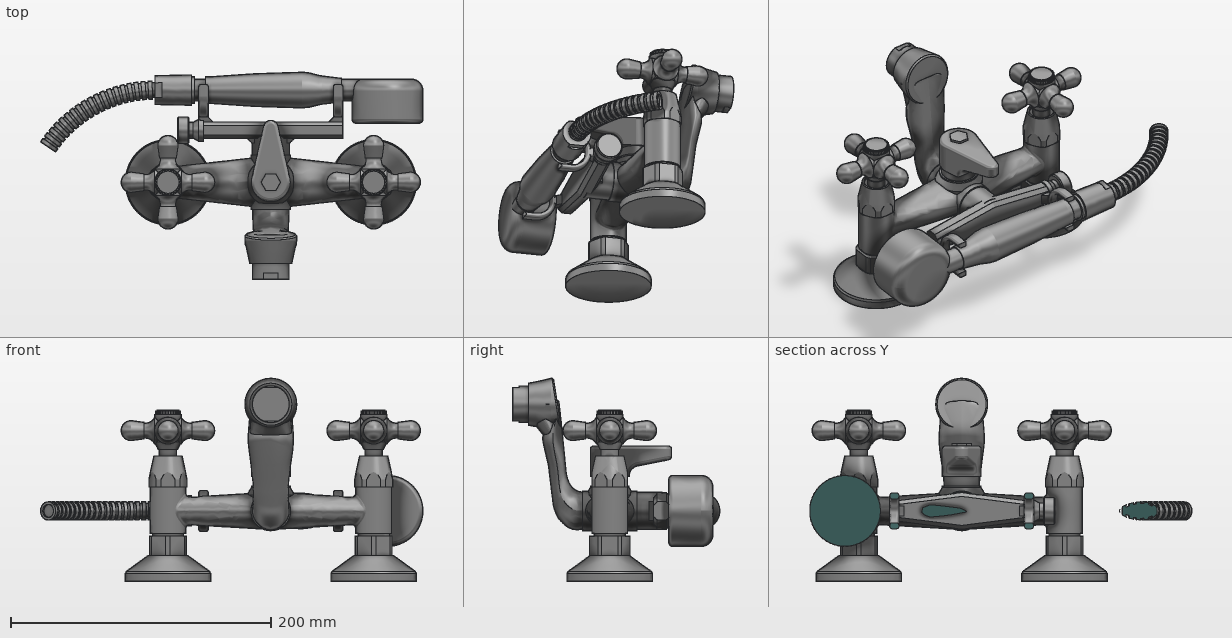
import cadquery as cq
import math

COLUMN_X = 79.0
AXIS_Z = 54.0
SHOWER_Y = 70.8


def turned_z(profile):
    """Solid of revolution about Z from (radius, z) points, closed along the axis."""
    points = [(0, profile[0][1])] + profile + [(0, profile[-1][1])]
    return cq.Workplane("XZ").polyline(points).close().revolve(360, (0, 0, 0), (0, 1, 0))


def turned_x(profile):
    """Solid of revolution about X from (x, radius) points, closed along the axis."""
    points = [(profile[0][0], 0)] + profile + [(profile[-1][0], 0)]
    return cq.Workplane("XY").polyline(points).close().revolve(360, (0, 0, 0), (1, 0, 0))


def turned_y(profile):
    """Solid of revolution about Y from (radius, y) points, closed along the axis."""
    points = [(0, profile[0][1])] + profile + [(0, profile[-1][1])]
    return cq.Workplane("XY").polyline(points).close().revolve(360, (0, 0, 0), (0, 1, 0))


def rod_y(radius, start, end):
    """Round rod parallel to Y through the middle of the mixer at tube height."""
    return turned_y([(radius, start), (radius, end)]).translate((0, 0, AXIS_Z))


FLANGE_R = 33.0
FLANGE_RIM_Z = 6.0
FLANGE_SHOULDER_R = 32.0
FLANGE_SHOULDER_Z = 7.5
FLANGE_TOP_R = 15.0
NUT_R = 15.5
NUT_ACROSS_FLATS = 28.5
NUT_BASE_Z = 20.0
NUT_TOP_Z = 34.7
NECK_R = 12.0
COLUMN_R = 13.8
COLUMN_BASE_Z = 36.7
COLUMN_TOP_Z = 72.2
BONNET_R = 14.7
BONNET_ACROSS_FLATS = 27.3
BONNET_BEND_Z = 78.0
BONNET_WAIST = (13.2, 85.8)
BONNET_TOP_R = 11.0
BONNET_TOP_Z = 96.3
BONNET_RECESS_R = 9.5
BONNET_RECESS_DEPTH = 1.8
STEM_R = 6.8


def hexagon_prism(across_flats, base_z, top_z, turn=0):
    """Hexagonal prism on Z; its corners lie on X when it is not turned."""
    across_corners = across_flats / math.cos(math.pi / 6)
    prism = cq.Workplane("XY").workplane(offset=base_z).polygon(6, across_corners)
    return prism.extrude(top_z - base_z).rotate((0, 0, 0), (0, 0, 1), turn)


def make_flange():
    return turned_z([
        (FLANGE_R, 0),
        (FLANGE_R, FLANGE_RIM_Z),
        (FLANGE_SHOULDER_R, FLANGE_SHOULDER_Z),
        (FLANGE_TOP_R, NUT_BASE_Z),
    ])


def make_union_nut():
    round_blank = turned_z([(NUT_R, NUT_BASE_Z), (NUT_R, NUT_TOP_Z)])
    return round_blank.intersect(hexagon_prism(NUT_ACROSS_FLATS, NUT_BASE_Z, NUT_TOP_Z, 30))


def make_bonnet():
    """Curved bonnet whose lower end carries six flats with arched tops."""
    bonnet = (
        cq.Workplane("XZ")
        .moveTo(0, COLUMN_TOP_Z)
        .lineTo(BONNET_R, COLUMN_TOP_Z)
        .lineTo(BONNET_R, BONNET_BEND_Z)
        .threePointArc(BONNET_WAIST, (BONNET_TOP_R, BONNET_TOP_Z))
        .lineTo(0, BONNET_TOP_Z)
        .close()
        .revolve(360, (0, 0, 0), (0, 1, 0))
    )
    recess_z = BONNET_TOP_Z - BONNET_RECESS_DEPTH
    recess = turned_z([(BONNET_RECESS_R, recess_z), (BONNET_RECESS_R, BONNET_TOP_Z)])
    flats = hexagon_prism(BONNET_ACROSS_FLATS, COLUMN_TOP_Z, BONNET_TOP_Z)
    return bonnet.intersect(flats).cut(recess)


def make_barrel():
    return turned_z([(COLUMN_R, COLUMN_BASE_Z), (COLUMN_R, COLUMN_TOP_Z)])


def make_column():
    neck = turned_z([(NECK_R, NUT_TOP_Z), (NECK_R, COLUMN_BASE_Z)])
    stem = turned_z([(STEM_R, COLUMN_TOP_Z), (STEM_R, HUB_BASE_Z)])
    column = make_flange().union(make_union_nut()).union(neck).union(make_barrel())
    return column.union(make_bonnet()).union(stem)


HANDLE_Z = 115.7
ARM_BALL_R = 7.78
ARM_BALL_OFFSET = 28.2
ARM_GRIP_R = 6.5
ARM_GRIP_OFFSET = 18.5
ARM_NECK_R = 6.0
ARM_FLARE_MID = (12.3, 7.5)
ARM_FLARE_END = 10.3
HUB_BASE_Z = 101.0
HUB_BASE_R = 7.3
HUB_R = 10.3
HUB_CONE_Z = 107.0
CAP_BASE_Z = 128.0
CAP_RIM_Z = 130.7
CAP_R = 9.7
CAP_FACE_R = 8.5
CAP_FACE_Z = 131.5
CAP_TEETH = 24
CAP_GROOVE_R = 0.5


def make_handle_arm():
    """One arm along +X: flared root, tapered grip and a round end."""
    ball_diagonal = ARM_BALL_R * math.sqrt(0.5)
    return (
        cq.Workplane("XY")
        .moveTo(0, 0)
        .lineTo(0, ARM_FLARE_END)
        .lineTo(ARM_FLARE_END, ARM_FLARE_END)
        .threePointArc(ARM_FLARE_MID, (ARM_GRIP_OFFSET, ARM_NECK_R))
        .lineTo(ARM_GRIP_OFFSET, ARM_GRIP_R)
        .lineTo(ARM_BALL_OFFSET, ARM_BALL_R)
        .threePointArc(
            (ARM_BALL_OFFSET + ball_diagonal, ball_diagonal),
            (ARM_BALL_OFFSET + ARM_BALL_R, 0),
        )
        .close()
        .revolve(360, (0, 0, 0), (1, 0, 0))
        .translate((0, 0, HANDLE_Z))
    )


def make_cap():
    """Serrated cap with a slightly raised face."""
    cap = turned_z([
        (CAP_R, CAP_BASE_Z),
        (CAP_R, CAP_RIM_Z),
        (CAP_FACE_R, CAP_RIM_Z),
        (CAP_FACE_R, CAP_FACE_Z),
    ])
    grooves = (
        cq.Workplane("XY")
        .workplane(offset=CAP_BASE_Z)
        .polarArray(CAP_R, 0, 360, CAP_TEETH)
        .circle(CAP_GROOVE_R)
        .extrude(CAP_RIM_Z - CAP_BASE_Z)
    )
    return cap.cut(grooves)


def make_cross_handle():
    hub = turned_z([
        (HUB_BASE_R, HUB_BASE_Z),
        (HUB_R, HUB_CONE_Z),
        (HUB_R, CAP_BASE_Z),
    ])
    envelope = turned_z([
        (HUB_BASE_R, HUB_BASE_Z),
        (ARM_BALL_OFFSET + ARM_BALL_R, HANDLE_Z - ARM_BALL_R),
        (ARM_BALL_OFFSET + ARM_BALL_R, CAP_BASE_Z),
    ])
    arms = make_handle_arm()
    for turn in (90, 180, 270):
        arms = arms.union(make_handle_arm().rotate((0, 0, 0), (0, 0, 1), turn))
    return hub.union(arms.intersect(envelope)).union(make_cap())


TUBE_MID_HALF_Y = 20.3
TUBE_MID_HALF_Z = 14.5
TUBE_END_HALF_Y = 11.5
TUBE_END_HALF_Z = 9.7
TUBE_FILLET_R = 3.0
PORT_R = 15.3
PORT_HALF_LENGTH = 20.9
VALVE_PORT_R = 15.0
VALVE_PORT_TOP_Z = 73.0
VALVE_FLARE_R = 18.2
VALVE_FLARE_Z = 66.5
VALVE_FLARE_TOP_Z = 72.0
VALVE_NECK_R = 13.5


def make_tapered_tube(side):
    """Oval tube from the middle to the column on one side (+1 or -1)."""
    middle = cq.Workplane("YZ").ellipse(TUBE_MID_HALF_Y, TUBE_MID_HALF_Z)
    tube = middle.workplane(offset=side * COLUMN_X).ellipse(TUBE_END_HALF_Y, TUBE_END_HALF_Z)
    return tube.loft(combine=True).translate((0, 0, AXIS_Z))


def make_middle():
    port = rod_y(PORT_R, -PORT_HALF_LENGTH, PORT_HALF_LENGTH)
    valve_port = turned_z([
        (VALVE_FLARE_R, AXIS_Z),
        (VALVE_FLARE_R, VALVE_FLARE_Z),
        (VALVE_PORT_R, VALVE_FLARE_TOP_Z),
        (VALVE_PORT_R, VALVE_PORT_TOP_Z),
        (VALVE_NECK_R, VALVE_PORT_TOP_Z),
        (VALVE_NECK_R, LEVER_BASE_Z),
    ])
    middle = port.union(valve_port)
    for side in (1, -1):
        barrel = make_barrel().translate((side * COLUMN_X, 0, 0))
        middle = middle.union(make_tapered_tube(side)).union(barrel)
    for side in (1, -1):
        joint = cq.selectors.BoxSelector(
            (side * (COLUMN_X - COLUMN_R), -COLUMN_R, AXIS_Z - TUBE_MID_HALF_Z),
            (side * COLUMN_X, COLUMN_R, AXIS_Z + TUBE_MID_HALF_Z),
        )
        middle = middle.edges(joint).fillet(TUBE_FILLET_R)
    return middle


LEVER_R = 15.0
LEVER_TIP_R = 5.5
LEVER_TIP_Y = 42.0
LEVER_BASE_Z = 80.5
LEVER_TOP_Z = 104.0
LEVER_EDGE_R = 2.5
LEVER_ROOT = (20.9, 88.5)
LEVER_ROOT_MID = (16.7, 85.8)
LEVER_TIP_UNDER_Z = 93.7
LEVER_UNDER_EDGE_R = 3.0
SCREW_ACROSS_CORNERS = 15.0
SCREW_HEIGHT = 1.8


def make_lever():
    tip_end = LEVER_TIP_Y + LEVER_TIP_R
    slant_sin = (LEVER_R - LEVER_TIP_R) / LEVER_TIP_Y
    slant_cos = math.sqrt(1 - slant_sin ** 2)
    root = (LEVER_R * slant_cos, LEVER_R * slant_sin)
    tip = (LEVER_TIP_R * slant_cos, LEVER_TIP_Y + LEVER_TIP_R * slant_sin)
    teardrop = (
        cq.Workplane("XY")
        .workplane(offset=LEVER_BASE_Z)
        .moveTo(*root)
        .lineTo(*tip)
        .threePointArc((0, tip_end), (-tip[0], tip[1]))
        .lineTo(-root[0], root[1])
        .threePointArc((0, -LEVER_R), root)
        .close()
        .extrude(LEVER_TOP_Z - LEVER_BASE_Z)
        .faces(">Z")
        .edges()
        .fillet(LEVER_EDGE_R)
    )
    side_outline = (
        cq.Workplane("YZ")
        .moveTo(-LEVER_R, LEVER_BASE_Z)
        .lineTo(LEVER_R, LEVER_BASE_Z)
        .threePointArc(LEVER_ROOT_MID, LEVER_ROOT)
        .lineTo(tip_end, LEVER_TIP_UNDER_Z)
        .lineTo(tip_end, LEVER_TOP_Z)
        .lineTo(-LEVER_R, LEVER_TOP_Z)
        .close()
        .extrude(LEVER_R, both=True)
    )
    screw = cq.Workplane("XY").workplane(offset=LEVER_TOP_Z).polygon(6, SCREW_ACROSS_CORNERS)
    lever = teardrop.intersect(side_outline)
    under_edges = cq.selectors.BoxSelector(
        (-LEVER_R, LEVER_ROOT[0], LEVER_ROOT[1]),
        (LEVER_R, tip_end + LEVER_TIP_R, LEVER_TIP_UNDER_Z + LEVER_UNDER_EDGE_R),
    )
    lever = lever.edges(under_edges).fillet(LEVER_UNDER_EDGE_R)
    return lever.union(screw.extrude(SCREW_HEIGHT))


SPOUT_SECTIONS = [
    ((-20.5, 68.5), (-20.5, 40.2), 14.0),
    ((-26.5, 70.2), (-34.0, 42.5), 13.8),
    ((-30.3, 74.0), (-41.0, 51.0), 13.5),
    ((-33.0, 80.8), (-44.3, 64.5), 13.5),
    ((-34.0, 91.0), (-47.0, 88.0), 15.3),
    ((-36.5, 113.7), (-50.5, 113.7), 17.3),
    ((-41.0, 136.0), (-53.7, 136.0), 19.7),
]
SPOUT_WEB_SECTIONS = [
    ((-36.5, 111.0), (-50.0, 111.0), 16.5),
    ((-41.0, 129.2), (-57.5, 120.5), 15.3),
]
OUTLET_Z = 136.0
OUTLET_BACK_Y = -35.2
OUTLET_BACK_LOW = (-36.0, 110.7)
OUTLET_BACK_HIGH = (-43.5, 157.5)
OUTLET_BACK_EDGE = 1.2
OUTLET_R = 20.0
OUTLET_RIM_Y = -45.0
OUTLET_FRONT_R = 16.2
OUTLET_FRONT_Y = -62.5
NOZZLE_R = 14.0
NOZZLE_END_Y = -74.5
NOZZLE_FLAT_Z = 13.0
NOZZLE_FLAT_LENGTH = 5.0


def spout_section(inner, outer, half_width):
    """Elliptical wire between an inner and an outer point of the bend."""
    step_y = outer[0] - inner[0]
    step_z = outer[1] - inner[1]
    centre = (0, (inner[0] + outer[0]) / 2, (inner[1] + outer[1]) / 2)
    plane = cq.Plane(origin=centre, xDir=(1, 0, 0), normal=(0, step_z, -step_y))
    half_depth = math.hypot(step_y, step_z) / 2
    return cq.Workplane(plane).ellipse(half_width, half_depth).wires().val()


def make_outlet():
    outlet = turned_y([
        (OUTLET_R, OUTLET_BACK_Y),
        (OUTLET_R, OUTLET_RIM_Y),
        (OUTLET_FRONT_R, OUTLET_FRONT_Y),
        (NOZZLE_R, OUTLET_FRONT_Y),
        (NOZZLE_R, NOZZLE_END_Y),
    ])
    flat_depth = NOZZLE_R - NOZZLE_FLAT_Z
    for side in (1, -1):
        flat = cq.Workplane("XY").box(2 * NOZZLE_R, NOZZLE_FLAT_LENGTH, flat_depth)
        flat_y = NOZZLE_END_Y + NOZZLE_FLAT_LENGTH / 2
        outlet = outlet.cut(flat.translate((0, flat_y, side * (NOZZLE_FLAT_Z + flat_depth / 2))))
    back_slice = (
        cq.Workplane("YZ")
        .polyline([OUTLET_BACK_LOW, OUTLET_BACK_HIGH, (0, OUTLET_BACK_HIGH[1]), (0, OUTLET_BACK_LOW[1])])
        .close()
        .extrude(2 * OUTLET_R, both=True)
    )
    outlet = outlet.translate((0, 0, OUTLET_Z)).cut(back_slice)
    return outlet.faces(">Y").edges().chamfer(OUTLET_BACK_EDGE)


def make_spout():
    sections = [spout_section(*section) for section in SPOUT_SECTIONS]
    pipe = cq.Workplane(cq.Solid.makeLoft(sections))
    web = cq.Workplane(cq.Solid.makeLoft([spout_section(*section) for section in SPOUT_WEB_SECTIONS]))
    return pipe.union(make_outlet()).union(web)


CRADLE_PORT_R = 14.5
PORT_GUSSET = 3.5
PORT_GUSSET_HEIGHT = 14.7
BAR_Y = 40.0
BAR_DEPTH = 13.0
BAR_MID_HEIGHT = 28.2
BAR_END_HEIGHT = 14.0
BAR_EDGE = 3.0
FORK_X = 51.7
FORK_WIDTH = 7.3
FORK_OUTER_R = 16.0
FORK_INNER_R = 11.7
FORK_CENTRE_Y = 65.5
FORK_TIP_Y = 75.2
FORK_STEM_HEIGHT = 7.5
FORK_EDGE_R = 1.9
FORK_GUSSET = 3.5
KNOB_R = 10.3
KNOB_OUTER_X = -71.7
KNOB_INNER_X = -62.8
KNOB_EDGE = 1.0
KNOB_NECK_R = 6.2
KNOB_CONE_X = -59.5
KNOB_CONE_R = 8.5


def bar_section(x, height):
    """Bevelled rectangle across the cradle bar."""
    side = cq.Workplane("YZ", origin=(x, BAR_Y, AXIS_Z))
    half_y = BAR_DEPTH / 2
    half_z = height / 2
    quarter = [(half_y, half_z - BAR_EDGE), (half_y - BAR_EDGE, half_z)]
    outline = quarter + [(-y, z) for y, z in reversed(quarter)]
    outline += [(-y, -z) for y, z in outline]
    return side.polyline(outline).close().wires().val()


def make_bar():
    """Bar that tapers in height from the middle to both forks."""
    end_x = FORK_X + FORK_WIDTH / 2
    halves = [
        cq.Workplane(cq.Solid.makeLoft([
            bar_section(0, BAR_MID_HEIGHT),
            bar_section(side * end_x, BAR_END_HEIGHT),
        ], True))
        for side in (1, -1)
    ]
    return halves[0].union(halves[1])


def make_fork(x):
    """U-shaped rest, open to the rear, on a stem from the bar."""
    rest = (
        cq.Workplane("YZ")
        .moveTo(FORK_TIP_Y, FORK_OUTER_R)
        .lineTo(FORK_CENTRE_Y, FORK_OUTER_R)
        .threePointArc((FORK_CENTRE_Y - FORK_OUTER_R, 0), (FORK_CENTRE_Y, -FORK_OUTER_R))
        .lineTo(FORK_TIP_Y, -FORK_OUTER_R)
        .lineTo(FORK_TIP_Y, -FORK_INNER_R)
        .lineTo(FORK_CENTRE_Y, -FORK_INNER_R)
        .threePointArc((FORK_CENTRE_Y - FORK_INNER_R, 0), (FORK_CENTRE_Y, FORK_INNER_R))
        .lineTo(FORK_TIP_Y, FORK_INNER_R)
        .close()
        .extrude(FORK_WIDTH / 2, both=True)
        .faces("<X or >X")
        .edges()
        .fillet(FORK_EDGE_R)
    )
    stem_end = FORK_CENTRE_Y - (FORK_INNER_R + FORK_OUTER_R) / 2
    stem = cq.Workplane("XY").box(FORK_WIDTH, stem_end - BAR_Y, FORK_STEM_HEIGHT)
    stem = stem.edges("|Y").fillet(FORK_EDGE_R).translate((0, (stem_end + BAR_Y) / 2, 0))
    bar_back_y = BAR_Y + BAR_DEPTH / 2
    inward = -math.copysign(1, x)
    gusset = (
        cq.Workplane("XY")
        .polyline([
            (0, bar_back_y - FORK_GUSSET),
            (0, bar_back_y + FORK_GUSSET),
            (inward * FORK_WIDTH / 2, bar_back_y + FORK_GUSSET),
            (inward * (FORK_WIDTH / 2 + FORK_GUSSET), bar_back_y),
            (inward * (FORK_WIDTH / 2 + FORK_GUSSET), bar_back_y - FORK_GUSSET),
        ])
        .close()
        .extrude(FORK_STEM_HEIGHT / 2, both=True)
    )
    return rest.union(stem).union(gusset).translate((x, 0, AXIS_Z))


def make_knob():
    knob = turned_x([
        (KNOB_OUTER_X, KNOB_R - KNOB_EDGE),
        (KNOB_OUTER_X + KNOB_EDGE, KNOB_R),
        (KNOB_INNER_X - KNOB_EDGE, KNOB_R),
        (KNOB_INNER_X, KNOB_R - KNOB_EDGE),
        (KNOB_INNER_X, KNOB_NECK_R),
        (KNOB_CONE_X, KNOB_NECK_R),
        (-FORK_X - FORK_WIDTH / 2, KNOB_CONE_R),
        (-FORK_X, KNOB_CONE_R),
    ])
    return knob.translate((0, BAR_Y, AXIS_Z))


def make_cradle():
    port = rod_y(CRADLE_PORT_R, PORT_HALF_LENGTH, BAR_Y)
    bar_front_y = BAR_Y - BAR_DEPTH / 2
    port_gusset = (
        cq.Workplane("XY", origin=(0, 0, AXIS_Z))
        .polyline([
            (-CRADLE_PORT_R - PORT_GUSSET, BAR_Y),
            (-CRADLE_PORT_R - PORT_GUSSET, bar_front_y),
            (-CRADLE_PORT_R, bar_front_y - PORT_GUSSET),
            (CRADLE_PORT_R, bar_front_y - PORT_GUSSET),
            (CRADLE_PORT_R + PORT_GUSSET, bar_front_y),
            (CRADLE_PORT_R + PORT_GUSSET, BAR_Y),
        ])
        .close()
        .extrude(PORT_GUSSET_HEIGHT / 2, both=True)
    )
    cradle = port.union(port_gusset).union(make_bar()).union(make_knob())
    for x in (-FORK_X, FORK_X):
        cradle = cradle.union(make_fork(x))
    return cradle


HOSE_NUT_START_X = -89.0
HOSE_NUT_END_X = -60.8
HOSE_NUT_START_R = 11.2
HOSE_NUT_END_R = 11.7
HOSE_NUT_FLAT_LENGTH = 5.3
HOSE_NUT_FLAT_Z = 9.7
SHOWER_RING_R = 10.3
SHOWER_RING_END_X = -58.5
SHOWER_NECK_R = 8.5
GRIP_START_X = -50.2
GRIP_COLLAR_X = -46.7
GRIP_START_R = 10.3
GRIP_MAX_X = 24.0
GRIP_MAX_R = 13.8
GRIP_END_X = 39.6
GRIP_END_R = 11.0
GRIP_SWELL_SLOPE = (14, 1)
GRIP_FALL_SLOPE = (7, -1)
ALONG_AXIS = (1, 0)
FERRULE_END_X = 54.3
FERRULE_END_R = 9.0
HEAD_X = 89.5
HEAD_R = 27.3
HEAD_FACE_Y = 45.2
HEAD_BACK_Y = 79.3
HEAD_BACK_R = 9.0
HEAD_FACE_EDGE_R = 3.2


def make_shower_handle():
    """Hose nut, waist, swelling grip and ferrule, turned about the handle axis."""
    handle = (
        cq.Workplane("XY")
        .moveTo(HOSE_NUT_START_X, 0)
        .lineTo(HOSE_NUT_START_X, HOSE_NUT_START_R)
        .lineTo(HOSE_NUT_END_X, HOSE_NUT_END_R)
        .lineTo(HOSE_NUT_END_X, SHOWER_RING_R)
        .lineTo(SHOWER_RING_END_X, SHOWER_RING_R)
        .lineTo(SHOWER_RING_END_X, SHOWER_NECK_R)
        .lineTo(GRIP_START_X, SHOWER_NECK_R)
        .lineTo(GRIP_START_X, GRIP_START_R)
        .lineTo(GRIP_COLLAR_X, GRIP_START_R)
        .spline([(GRIP_MAX_X, GRIP_MAX_R)], tangents=[GRIP_SWELL_SLOPE, ALONG_AXIS], includeCurrent=True)
        .spline([(GRIP_END_X, GRIP_END_R)], tangents=[ALONG_AXIS, GRIP_FALL_SLOPE], includeCurrent=True)
        .lineTo(FERRULE_END_X, FERRULE_END_R)
        .lineTo(FERRULE_END_X, SHOWER_NECK_R)
        .lineTo(HEAD_X, SHOWER_NECK_R)
        .lineTo(HEAD_X, 0)
        .close()
        .revolve(360, (0, 0, 0), (1, 0, 0))
    )
    flat_depth = HOSE_NUT_END_R - HOSE_NUT_FLAT_Z
    for side in (1, -1):
        flat = cq.Workplane("XY").box(HOSE_NUT_FLAT_LENGTH, 2 * HOSE_NUT_END_R, flat_depth)
        flat_x = HOSE_NUT_START_X + HOSE_NUT_FLAT_LENGTH / 2
        flat_z = side * (HOSE_NUT_FLAT_Z + flat_depth / 2)
        handle = handle.cut(flat.translate((flat_x, 0, flat_z)))
    return handle.translate((0, SHOWER_Y, AXIS_Z))


def make_shower_head():
    head = turned_y([(HEAD_R, HEAD_FACE_Y), (HEAD_R, HEAD_BACK_Y)])
    head = head.faces(">Y").edges().fillet(HEAD_BACK_R)
    head = head.faces("<Y").edges().fillet(HEAD_FACE_EDGE_R)
    return head.translate((HEAD_X, 0, AXIS_Z))


HOSE_BEND_R = 99.0
HOSE_BEND_ANGLE = 56
HOSE_RIB_R = 7.0
HOSE_CORE_R = 6.0
HOSE_RECESS_R = 5.0
HOSE_RECESS_ANGLE = 1
HOSE_RIBS = 19
HOSE_RIB_SHARE = 0.6


def hose_piece(radius, start_angle, sweep):
    """Bent round bar on the hose's arc, beginning start_angle degrees from the nut."""
    piece = cq.Workplane("YZ").center(HOSE_BEND_R, 0).circle(radius)
    piece = piece.revolve(sweep, (-HOSE_BEND_R, 0, 0), (-HOSE_BEND_R, 1, 0))
    return piece.rotate((0, 0, 0), (0, 0, 1), start_angle)


def make_hose():
    """Ribbed hose curving from the hose nut forwards, with a shallow recess in its free end."""
    pitch = HOSE_BEND_ANGLE / HOSE_RIBS
    rib_sweep = pitch * HOSE_RIB_SHARE
    hose = hose_piece(HOSE_CORE_R, 0, HOSE_BEND_ANGLE)
    for rib in range(HOSE_RIBS):
        rib_start = (rib + 1) * pitch - rib_sweep
        hose = hose.union(hose_piece(HOSE_RIB_R, rib_start, rib_sweep))
    hose = hose.cut(hose_piece(HOSE_RECESS_R, HOSE_BEND_ANGLE - HOSE_RECESS_ANGLE, HOSE_RECESS_ANGLE))
    return hose.translate((HOSE_NUT_START_X, SHOWER_Y - HOSE_BEND_R, AXIS_Z))


def make_mixer():
    mixer = make_middle().union(make_lever()).union(make_spout()).union(make_cradle())
    column = make_column().union(make_cross_handle())
    for x in (-COLUMN_X, COLUMN_X):
        mixer = mixer.union(column.translate((x, 0, 0)))
    return mixer


def make_hand_shower():
    return make_shower_handle().union(make_shower_head()).union(make_hose())


mixer = make_mixer()
hand_shower = make_hand_shower()

result = cq.Compound.makeCompound([mixer.val(), hand_shower.val()])